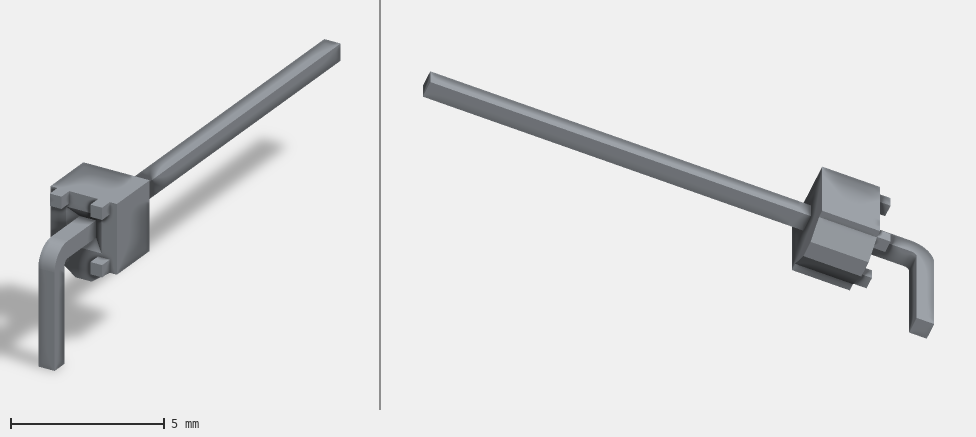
import cadquery as cq

block_width = 2.53
block_height = 2.57
block_depth = 2.05
half_width = block_width / 2
block_top = half_width
block_bottom = block_top - block_height

keel_top_width = 2.0
keel_bottom_width = 0.6
keel_height = 0.5

peg_size = 0.45
peg_length = 0.48
peg_spacing_x = 1.55
peg_spacing_z = block_width - peg_size

pin_size = 0.62
pin_length = 17.84
overall_height = 5.33
pin_overhang = 2.32
pin_height = overall_height - block_top + pin_size / 2
inner_bend_radius = 0.18
outer_bend_radius = inner_bend_radius + pin_size

funnel_size = 1.35
funnel_depth = 0.27


def make_block():
    """Rectangular block with the tapered keel, as one profile extruded along Y."""
    profile = [
        (-half_width, block_top),
        (half_width, block_top),
        (half_width, block_bottom),
        (keel_top_width / 2, block_bottom),
        (keel_bottom_width / 2, block_bottom - keel_height),
        (-keel_bottom_width / 2, block_bottom - keel_height),
        (-keel_top_width / 2, block_bottom),
        (-half_width, block_bottom),
    ]
    return cq.Workplane("XZ").polyline(profile).close().extrude(-block_depth)


def make_pegs():
    """Four pegs standing out of the front face toward -Y."""
    return (
        cq.Workplane("XZ")
        .rarray(peg_spacing_x, peg_spacing_z, 2, 2)
        .rect(peg_size, peg_size)
        .extrude(peg_length)
    )


def make_funnel():
    """Pyramidal recess narrowing from the front face to the pin's section."""
    return (
        cq.Workplane("XZ")
        .rect(funnel_size, funnel_size)
        .workplane(offset=-funnel_depth)
        .rect(pin_size, pin_size)
        .loft(ruled=True)
    )


def make_pin_hole():
    """Square passage that fits the pin, through the whole block."""
    return cq.Workplane("XZ").rect(pin_size, pin_size).extrude(-block_depth)


def make_housing():
    return make_block().union(make_pegs()).cut(make_funnel()).cut(make_pin_hole())


def make_pin():
    """L-shaped square wire with concentric inner and outer bend radii."""
    front = -pin_overhang
    back = front + pin_length
    top = pin_size / 2
    bottom = top - pin_height
    profile = [
        (back, top),
        (front, top),
        (front, bottom),
        (front + pin_size, bottom),
        (front + pin_size, -top),
        (back, -top),
    ]
    pin = cq.Workplane("YZ").polyline(profile).close().extrude(pin_size / 2, both=True)
    pin = pin.edges(cq.selectors.NearestToPointSelector((0, front, top))).fillet(outer_bend_radius)
    inner_corner = (0, front + pin_size, -top)
    return pin.edges(cq.selectors.NearestToPointSelector(inner_corner)).fillet(inner_bend_radius)


housing = make_housing()
pin = make_pin()

result = cq.Compound.makeCompound([housing.val(), pin.val()])